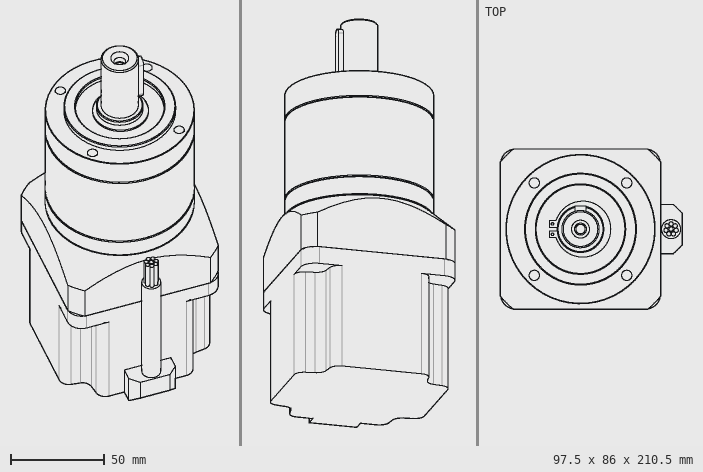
import cadquery as cq
import math

MOTOR_LENGTH = 66.5

MOTOR_SQUARE = 85.7
MOTOR_HALF = MOTOR_SQUARE / 2
MOTOR_FLANGE_THICKNESS = 9.5
MOTOR_FLANGE_CORNER_RADIUS = 8.0
NOTCH_COUNT = 4
NOTCH_MOUTH = 26.95
NOTCH_WALL_TILT = 8.0
NOTCH_FILLET = 5.5

OUTLET_REACH = 54.5
OUTLET_WIDTH = 26.6
OUTLET_HEIGHT = 17.0
OUTLET_CHAMFER = 4.8
CABLE_X = 48.5
CABLE_DIAMETER = 10.2
CABLE_TOP = 85.2
WIRE_DIAMETER = 2.3
WIRE_TOP = 100.6
WIRES_AROUND = 7
WIRE_RING_RADIUS = 2.8
WIRE_TURN = 90.0

BASE_SQUARE = 86.0
BASE_CORNER_RADIUS = 56.0
BASE_SHOULDER_Z = 86.0
BODY_RADIUS = 40.0
BODY_BOTTOM_Z = 100.0
FACE_Z = 170.5
JOINT_HEIGHTS = (110.6, 155.8)
JOINT_CHAMFER = 0.5
FACE_CHAMFER = 0.3
PILOT_RADIUS = 30.0
PILOT_HEIGHT = 3.0
PILOT_CHAMFER = 0.5
RECESS_RADIUS = 23.75
RECESS_DEPTH = 2.7
RECESS_CHAMFER = 0.5
SCREW_PITCH_RADIUS = 35.0
SCREW_HOLE_DIAMETER = 5.5
SCREW_HOLE_DEPTH = 12.0
SCREW_COUNT = 4
SCREW_TURN = 45.0

SHAFT_RADIUS = 10.0
SHAFT_TOP = 210.5
SHAFT_CHAMFER = 0.75
COLLAR_RADIUS = 12.5
COLLAR_TOP = 174.6
COLLAR_CHAMFER = 0.5
CENTRE_HOLE_DIAMETER = 5.0
CENTRE_HOLE_DEPTH = 21.0
CENTRE_BORE_DIAMETER = 6.4
CENTRE_BORE_DEPTH = 6.0
COUNTERSINK_DIAMETER = 9.6
DRILL_POINT_ANGLE = 118.0
COUNTERSINK_ANGLE = 60.0
KEY_WIDTH = 6.0
KEY_LENGTH = 28.0
KEY_BOTTOM = 178.7
KEY_REACH = 12.5

RING_RADIUS = 15.0
RING_OFFSET = 1.2
RING_THICKNESS = 1.0
LUG_REACH = 16.5
LUG_WIDTH = 3.6
LUG_GAP = 2.0
LUG_HOLE_DIAMETER = 1.4
LUG_HOLE_X = -15.0


def cylinder(radius, bottom, top, x=0.0, y=0.0):
    return cq.Workplane("XY", origin=(x, y, bottom)).circle(radius).extrude(top - bottom)


def revolve_about_z(outline):
    """Turn an outline of (radius, height) points about the Z axis."""
    return cq.Workplane("XZ").polyline(outline).close().revolve(360, (0, 0, 0), (0, 1, 0))


def drill(diameter, depth, top, x=0.0, y=0.0):
    """Tool for a blind hole with a conical drill point."""
    radius = diameter / 2
    point_length = radius / math.tan(math.radians(DRILL_POINT_ANGLE / 2))
    outline = [(0, top), (radius, top), (radius, top - depth), (0, top - depth - point_length)]
    return revolve_about_z(outline).translate((x, y, 0))


def motor_frame():
    """Square frame below the flange whose four corners are notched, with every notch edge rounded."""
    height = MOTOR_LENGTH - MOTOR_FLANGE_THICKNESS
    slope = math.tan(math.radians(NOTCH_WALL_TILT))
    apex = (NOTCH_MOUTH + MOTOR_HALF * slope) / (1 + slope)
    notch_outline = [
        (NOTCH_MOUTH, MOTOR_HALF),
        (apex, apex),
        (MOTOR_HALF, NOTCH_MOUTH),
        (MOTOR_HALF, MOTOR_HALF),
    ]
    notch = (
        cq.Workplane("XY")
        .polyline(notch_outline)
        .close()
        .extrude(height)
    )
    frame = cq.Workplane("XY").rect(MOTOR_SQUARE, MOTOR_SQUARE).extrude(height)
    for number in range(NOTCH_COUNT):
        frame = frame.cut(notch.rotate((0, 0, 0), (0, 0, 1), number * 360 / NOTCH_COUNT))
    return frame.edges("|Z").fillet(NOTCH_FILLET)


def motor_flange():
    return (
        cq.Workplane("XY", origin=(0, 0, MOTOR_LENGTH - MOTOR_FLANGE_THICKNESS))
        .rect(MOTOR_SQUARE, MOTOR_SQUARE)
        .extrude(MOTOR_FLANGE_THICKNESS)
        .edges("|Z")
        .fillet(MOTOR_FLANGE_CORNER_RADIUS)
    )


def cable_outlet():
    """Block on the +X side, chamfered on the edges of its outer face except the top one."""
    root = MOTOR_HALF - NOTCH_FILLET
    length = OUTLET_REACH - root
    block = cq.Workplane("XY").box(length, OUTLET_WIDTH, OUTLET_HEIGHT, centered=(False, True, False))
    block = block.faces(">X").edges("|Z or <Z").chamfer(OUTLET_CHAMFER)
    return block.translate((root, 0, 0))


def cable():
    """Sheathed cable with a centre wire and a ring of wires at its cut end."""
    wires = cylinder(WIRE_DIAMETER / 2, CABLE_TOP, WIRE_TOP, CABLE_X)
    for number in range(WIRES_AROUND):
        angle = math.radians(WIRE_TURN + number * 360 / WIRES_AROUND)
        x = CABLE_X + WIRE_RING_RADIUS * math.cos(angle)
        y = WIRE_RING_RADIUS * math.sin(angle)
        wires = wires.union(cylinder(WIRE_DIAMETER / 2, CABLE_TOP, WIRE_TOP, x, y))
    return cylinder(CABLE_DIAMETER / 2, OUTLET_HEIGHT, CABLE_TOP, CABLE_X).union(wires)


def make_motor():
    return motor_frame().union(motor_flange()).union(cable_outlet()).union(cable())


def gearbox_base():
    """Square base under a cone, with its corners on a cylinder about the axis."""
    turned = revolve_about_z([
        (0, MOTOR_LENGTH),
        (BASE_CORNER_RADIUS, MOTOR_LENGTH),
        (BASE_CORNER_RADIUS, BASE_SHOULDER_Z),
        (BODY_RADIUS, BODY_BOTTOM_Z),
        (0, BODY_BOTTOM_Z),
    ])
    square = cq.Workplane("XY", origin=(0, 0, MOTOR_LENGTH)).rect(BASE_SQUARE, BASE_SQUARE)
    return turned.intersect(square.extrude(BODY_BOTTOM_Z - MOTOR_LENGTH))


def gearbox_barrel():
    """Round body of three chamfered rings, with a V groove at each joint."""
    levels = [BODY_BOTTOM_Z, *JOINT_HEIGHTS, FACE_Z]
    top_chamfers = [JOINT_CHAMFER] * len(JOINT_HEIGHTS) + [FACE_CHAMFER]
    barrel = cq.Workplane("XY")
    for bottom, top, top_chamfer in zip(levels, levels[1:], top_chamfers):
        ring = cylinder(BODY_RADIUS, bottom, top)
        ring = ring.faces("<Z").edges().chamfer(JOINT_CHAMFER)
        ring = ring.faces(">Z").edges().chamfer(top_chamfer)
        barrel = barrel.add(ring)
    return barrel.combine()


def pilot():
    """Centring rim on the mounting face."""
    rim = cylinder(PILOT_RADIUS, FACE_Z, FACE_Z + PILOT_HEIGHT)
    return rim.faces(">Z").edges().chamfer(PILOT_CHAMFER)


def pilot_recess():
    """Tool for the round recess in the pilot, widened by a chamfer at its rim."""
    top = FACE_Z + PILOT_HEIGHT
    return revolve_about_z([
        (0, top - RECESS_DEPTH),
        (RECESS_RADIUS, top - RECESS_DEPTH),
        (RECESS_RADIUS, top - RECESS_CHAMFER),
        (RECESS_RADIUS + RECESS_CHAMFER, top),
        (0, top),
    ])


def retaining_ring():
    """Eccentric ring with two pierced lugs on its open side."""
    floor = FACE_Z + PILOT_HEIGHT - RECESS_DEPTH
    ring = cylinder(RING_RADIUS, floor, floor + RING_THICKNESS, RING_OFFSET)
    for side in (-1, 1):
        lug_y = side * (LUG_GAP + LUG_WIDTH) / 2
        lug = (
            cq.Workplane("XY", origin=(-LUG_REACH / 2, lug_y, floor))
            .rect(LUG_REACH, LUG_WIDTH)
            .extrude(RING_THICKNESS)
        )
        lug_hole = cylinder(LUG_HOLE_DIAMETER / 2, floor, floor + RING_THICKNESS, LUG_HOLE_X, lug_y)
        ring = ring.union(lug).cut(lug_hole)
    slot = (
        cq.Workplane("XY", origin=(-LUG_REACH / 2, 0, floor))
        .rect(LUG_REACH, LUG_GAP)
        .extrude(RING_THICKNESS)
    )
    return ring.cut(slot)


def shaft():
    """Output shaft with its collar and key."""
    rod = cylinder(SHAFT_RADIUS, FACE_Z, SHAFT_TOP).faces(">Z").edges().chamfer(SHAFT_CHAMFER)
    collar = cylinder(COLLAR_RADIUS, FACE_Z, COLLAR_TOP).faces(">Z").edges().chamfer(COLLAR_CHAMFER)
    key = (
        cq.Workplane("XZ", origin=(0, 0, KEY_BOTTOM + KEY_LENGTH / 2))
        .slot2D(KEY_LENGTH, KEY_WIDTH, 90)
        .extrude(-KEY_REACH)
    )
    return rod.union(collar).union(key)


def centre_hole():
    """Tool for the countersunk and stepped hole in the shaft end."""
    sink_radius = COUNTERSINK_DIAMETER / 2
    sink_depth = sink_radius / math.tan(math.radians(COUNTERSINK_ANGLE / 2))
    sink = revolve_about_z([(0, SHAFT_TOP), (sink_radius, SHAFT_TOP), (0, SHAFT_TOP - sink_depth)])
    bore = cylinder(CENTRE_BORE_DIAMETER / 2, SHAFT_TOP - CENTRE_BORE_DEPTH, SHAFT_TOP)
    return drill(CENTRE_HOLE_DIAMETER, CENTRE_HOLE_DEPTH, SHAFT_TOP).union(bore).union(sink)


def make_gearbox():
    body = gearbox_base().union(gearbox_barrel()).union(pilot())
    body = body.cut(pilot_recess())
    body = body.union(retaining_ring()).union(shaft()).cut(centre_hole())
    for number in range(SCREW_COUNT):
        angle = math.radians(SCREW_TURN + number * 360 / SCREW_COUNT)
        x = SCREW_PITCH_RADIUS * math.cos(angle)
        y = SCREW_PITCH_RADIUS * math.sin(angle)
        body = body.cut(drill(SCREW_HOLE_DIAMETER, SCREW_HOLE_DEPTH, FACE_Z, x, y))
    return body


motor = make_motor()
gearbox = make_gearbox()

result = cq.Compound.makeCompound([motor.val(), gearbox.val()])